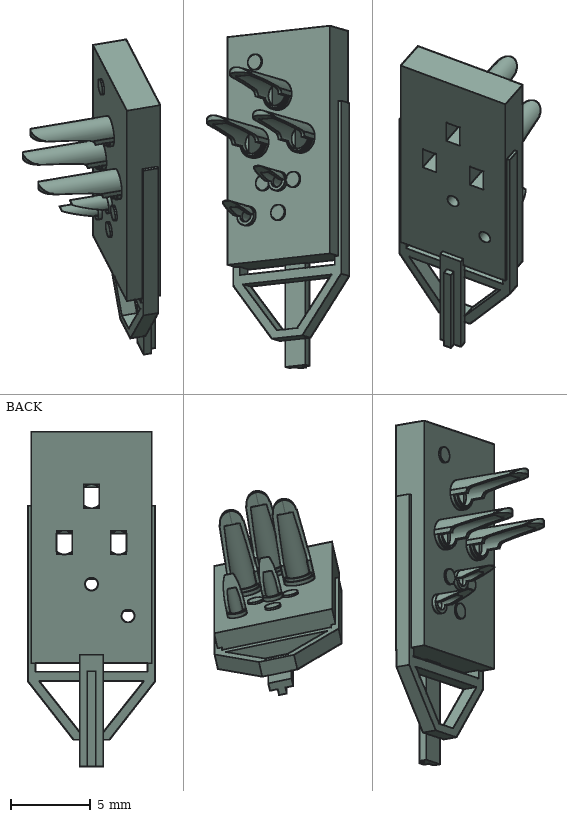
import cadquery as cq


total_height = 21.1
plate_width = 7.6
plate_height = 14.58
plate_thickness = 2.2
plate_bottom = total_height - plate_height

frame_width = 8.0
frame_thickness = 1.0
frame_setback = 0.2
frame_back = plate_thickness - frame_setback
frame_front = frame_back - frame_thickness
frame_top = total_height - 4.66
frame_shoulder = 5.35
frame_bottom = 1.69
frame_foot_width = 2.25
leg_width = 0.49
crossbar_top = 6.0
crossbar_bottom = 5.38
opening_bottom = 2.2
opening_top_width = 6.56

tail_width = 1.5
tail_thickness = 0.5
tail_top = 7.05
rib_width = 0.5
rib_thickness = 0.4
rib_top = 6.01

needle_diameter = 1.95
needle_radius = needle_diameter / 2
needle_length = 5.2
needle_bore = 1.5
needle_bore_depth = 4.33
collar_length = 0.25
spigot_diameter = 1.75
spigot_length = 0.45
flat_top = 0.13
flat_bottom = -0.2
tip_height = 0.63
scoop_points = [(1.22, flat_bottom), (1.37, 0.08), (1.9, 0.23), (2.8, 0.38), (3.86, 0.5)]
slot_width = 0.97

small_diameter = 1.25
small_shank_diameter = 1.22
small_length = 2.55
small_bore = 0.8
small_bore_depth = 1.69
small_slope_start = 0.65
small_tip_height = 0.55

disc_diameter = 1.0
disc_thickness = 0.13

side_x = 1.7
upper_needle_z = total_height - 4.07
lower_needle_z = total_height - 6.98
upper_row_z = total_height - 9.6
lower_row_z = total_height - 11.6
top_disc_z = total_height - 1.81
small_needle_x = -2.3
disc_x = (small_diameter + disc_diameter) / 2

needle_places = [(0, upper_needle_z), (-side_x, lower_needle_z), (side_x, lower_needle_z)]
small_needle_places = [(0, upper_row_z), (small_needle_x, lower_row_z)]
disc_places = [(-side_x, top_disc_z), (-disc_x, upper_row_z), (disc_x, upper_row_z), (0, lower_row_z)]


def block(width, back_y, front_y, bottom, top):
    """Box centred on X = 0 between the given Y and Z limits."""
    return cq.Workplane("XY").box(
        width, back_y - front_y, top - bottom, centered=(True, False, False)
    ).translate((0, front_y, bottom))


def rod(diameter, length):
    """Cylinder from the plate's face toward -Y, on the Y axis."""
    return cq.Workplane("XZ").circle(diameter / 2).extrude(length)


def make_frame():
    half = frame_width / 2
    foot_half = frame_foot_width / 2
    outline = [
        (-half, frame_top),
        (-half, frame_shoulder),
        (-foot_half, frame_bottom),
        (foot_half, frame_bottom),
        (half, frame_shoulder),
        (half, frame_top),
    ]
    opening = [
        (-opening_top_width / 2, crossbar_bottom),
        (-tail_width / 2, opening_bottom),
        (tail_width / 2, opening_bottom),
        (opening_top_width / 2, crossbar_bottom),
    ]
    frame = cq.Workplane("XZ").polyline(outline).close().extrude(-frame_thickness)
    triangle = cq.Workplane("XZ").polyline(opening).close().extrude(-frame_thickness)
    frame = frame.cut(triangle).translate((0, frame_front, 0))
    window = block(frame_width - 2 * leg_width, frame_back, frame_front, crossbar_top, plate_bottom)
    return frame.cut(window)


def make_tail():
    tail_back = frame_back + tail_thickness
    strip = block(tail_width, tail_back, frame_back, 0, tail_top)
    rib = block(rib_width, tail_back + rib_thickness, tail_back, 0, rib_top)
    return strip.union(rib)


def make_base():
    """Plate, frame and tail in one piece, with openings that continue the needle bores."""
    base = block(plate_width, plate_thickness, 0, plate_bottom, total_height)
    base = base.union(make_frame()).union(make_tail())
    slots = cq.Workplane("XZ").pushPoints(needle_places).rect(slot_width, needle_bore)
    base = base.cut(slots.extrude(-plate_thickness))
    bores = cq.Workplane("XZ").pushPoints(small_needle_places).circle(small_bore / 2)
    return base.cut(bores.extrude(-plate_thickness))


def make_needle(x, z):
    """Large scoop-shaped needle: trough with a rounded tip on a stepped ring."""
    walls = block(needle_diameter, 0, -needle_length, flat_bottom, flat_top)
    trough = rod(needle_diameter, needle_length).union(walls)

    side = (
        cq.Workplane("YZ")
        .moveTo(0, needle_diameter)
        .lineTo(0, flat_bottom)
        .lineTo(-scoop_points[0][0], flat_bottom)
        .spline([(-d, h) for d, h in scoop_points[1:]] + [(-needle_length, tip_height)], includeCurrent=True)
        .lineTo(-needle_length, needle_diameter)
        .close()
        .extrude(needle_diameter, both=True)
    )
    trough = trough.intersect(side)

    tip_radius = (needle_radius ** 2 - tip_height ** 2) ** 0.5
    straight_length = needle_length - tip_radius
    tip_zone = block(needle_diameter, -straight_length, -needle_length, 0, needle_diameter)
    tip_round = cq.Workplane("XY").circle(tip_radius).extrude(needle_diameter).translate((0, -straight_length, 0))
    trough = trough.cut(tip_zone.cut(tip_round))

    needle = trough.union(rod(needle_diameter, collar_length)).union(rod(spigot_diameter, spigot_length))
    needle = needle.cut(rod(needle_bore, needle_bore_depth))
    return needle.translate((x, 0, z))


def make_small_needle(x, z):
    """Small needle: half rod with a sloped underside on a short ring."""
    side = (
        cq.Workplane("YZ")
        .polyline([
            (0, small_diameter),
            (0, 0),
            (-small_slope_start, 0),
            (-small_length, small_tip_height),
            (-small_length, small_diameter),
        ])
        .close()
        .extrude(small_diameter, both=True)
    )
    needle = rod(small_shank_diameter, small_length).intersect(side)
    needle = needle.union(rod(small_diameter, collar_length))
    needle = needle.cut(rod(small_bore, small_bore_depth))
    return needle.translate((x, 0, z))


def make_disc(x, z):
    return rod(disc_diameter, disc_thickness).translate((x, 0, z))


base = make_base()
needles = [make_needle(x, z) for x, z in needle_places]
small_needles = [make_small_needle(x, z) for x, z in small_needle_places]
discs = [make_disc(x, z) for x, z in disc_places]

result = cq.Compound.makeCompound([body.val() for body in [base] + needles + small_needles + discs])